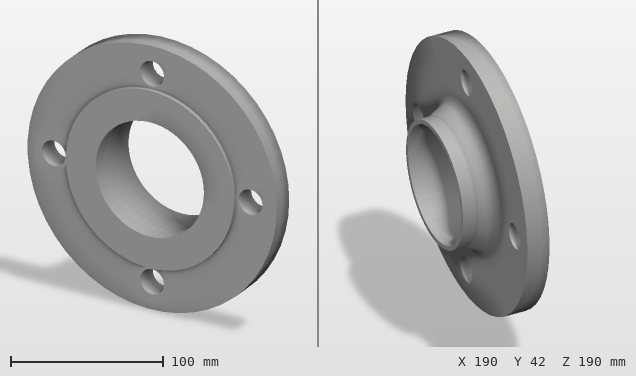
import cadquery as cq

flange_diameter = 190.0
flange_thickness = 16.0
overall_length = 42.0
raised_face_diameter = 128.0
raised_face_height = 3.0
bore_diameter = 82.5
neck_diameter = 88.9
neck_length = 10.0
hub_base_diameter = 102.0
hub_fillet_radius = 8.0
bolt_circle_diameter = 150.0
bolt_hole_diameter = 18.0
bolt_count = 4

flange_front = raised_face_height
flange_back = flange_front + flange_thickness
neck_start = overall_length - neck_length


def disc(diameter, start, end):
    """Cylinder about the Y axis from start to end."""
    return cq.Workplane("XZ", origin=(0, start, 0)).circle(diameter / 2).extrude(start - end)


def make_body():
    """Raised face, rim, conical hub and weld neck as one revolved outline."""
    outline = (
        cq.Workplane("XY")
        .moveTo(0, 0)
        .lineTo(raised_face_diameter / 2, 0)
        .lineTo(raised_face_diameter / 2, flange_front)
        .lineTo(flange_diameter / 2, flange_front)
        .lineTo(flange_diameter / 2, flange_back)
        .lineTo(hub_base_diameter / 2, flange_back)
        .lineTo(neck_diameter / 2, neck_start)
        .lineTo(neck_diameter / 2, overall_length)
        .lineTo(0, overall_length)
        .close()
    )
    body = outline.revolve(360, (0, 0, 0), (0, 1, 0))
    hub_root = cq.selectors.RadiusNthSelector(1)
    return body.edges("%CIRCLE").edges(hub_root).fillet(hub_fillet_radius)


def cut_bolt_holes(body):
    """Through holes on the bolt circle, on the X and Z axes."""
    holes = (
        cq.Workplane("XZ")
        .polarArray(bolt_circle_diameter / 2, 0, 360, bolt_count)
        .circle(bolt_hole_diameter / 2)
        .extrude(-flange_back)
    )
    return body.cut(holes)


bored_body = make_body().cut(disc(bore_diameter, 0, overall_length))
result = cut_bolt_holes(bored_body)